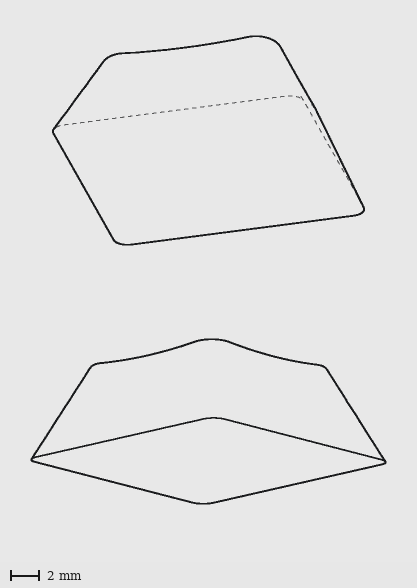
import cadquery as cq
import math

base_width = 18.0
base_corner_radius = 1.0

wall_angle = 21.8
loft_height = 7.0
loft_corner_radius = 1.96
loft_width = base_width - 2 * loft_height * math.tan(math.radians(wall_angle))

dish_bottom_height = 5.98
dish_radius = 39.6
rim_fillet = 0.5


def rounded_square(width, corner_radius, height):
    """Horizontal wire of a square with rounded corners at the given height."""
    helper_thickness = 0.18
    prism = cq.Workplane().workplane(offset=height).rect(width, width).extrude(helper_thickness)
    return prism.edges("|Z").fillet(corner_radius).faces("<Z").wires().val()


def tapered_body():
    """Ruled frustum whose corners grow rounder towards the top."""
    base = rounded_square(base_width, base_corner_radius, 0)
    top = rounded_square(loft_width, loft_corner_radius, loft_height)
    return cq.Workplane(cq.Solid.makeLoft([base, top], True))


def dish():
    """Ball that scoops the shallow hollow out of the top."""
    center_height = dish_bottom_height + dish_radius
    return cq.Workplane().sphere(dish_radius).translate((0, 0, center_height))


body = tapered_body().cut(dish())

result = body.faces(">Z").edges().fillet(rim_fillet)